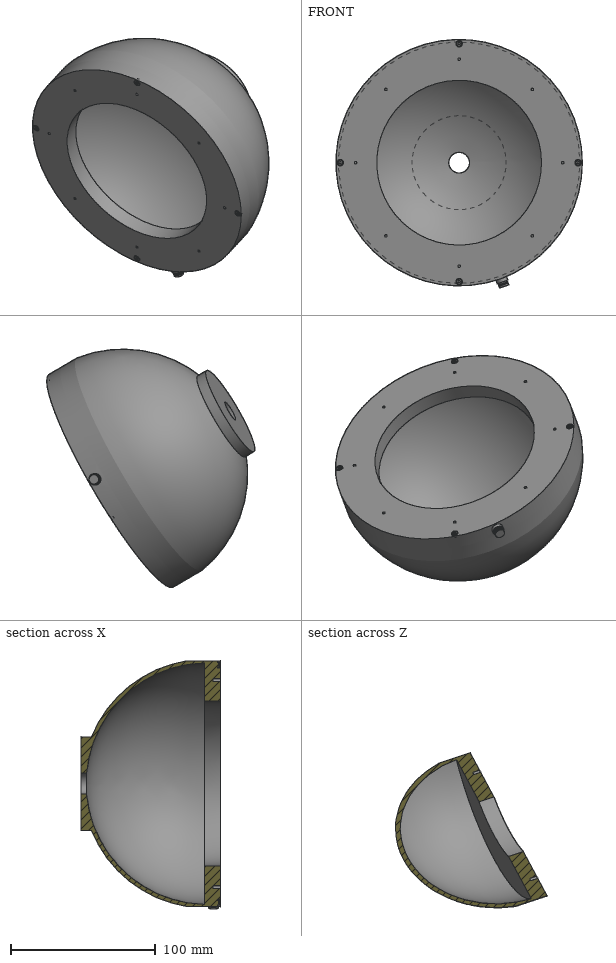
import cadquery as cq
import math

overall_height = 171.6
rim_radius = 170.0 / 2
plate_thickness = 11.3
rim_depth = 23.2
overall_depth = 96.5

sphere_center_y = 9.5
dome_wall = 3.0
dome_radius = math.hypot(rim_radius, rim_depth - sphere_center_y)
cavity_radius = dome_radius - dome_wall
opening_radius = 56.8

neck_radius = 32.5
camera_hole_radius = 7.0

pin_hole_count = 8
pin_circle_radius = 71.4
pin_hole_radius = 0.9
pin_hole_depth = 5.1

screw_count = 4
screw_circle_radius = 82.0
counterbore_radius = 2.2
screw_head_radius = 1.7
screw_head_height = 2.0
socket_width = 1.4
socket_depth = 1.4

connector_angle = 20.0
connector_y = 5.0
collar_radius = 4.0
collar_end = 87.5
groove_radius = 3.1
groove_end = 88.5
fine_groove_radius = 3.3
fine_groove_start = 89.2
fine_groove_end = 89.6
tip_radius = 3.5
tilt = math.radians(connector_angle)
tip_end = (overall_height - rim_radius - tip_radius * math.sin(tilt)) / math.cos(tilt)
connector_embedding = 3.5
connector_start = rim_radius - connector_embedding


def sphere_height(radius, axis_distance):
    """Y position on the +Y half of a sphere at a distance from the dome axis."""
    return sphere_center_y + math.sqrt(radius**2 - axis_distance**2)


def front_disc(radius, depth):
    """Round cutter from the front face into the part, on the dome axis."""
    return cq.Workplane("XZ").circle(radius).extrude(-depth)


def around_axis(tool, circle_radius, count):
    """Copies of a tool spread evenly on a circle about the dome axis."""
    copies = cq.Workplane("XY")
    start = tool.translate((circle_radius, 0, 0))
    for i in range(count):
        copies = copies.add(start.rotate((0, 0, 0), (0, 1, 0), i * 360 / count))
    return copies.combine()


def make_shell():
    """Revolved section: front plate, rim, hollow dome, neck and camera hole."""
    middle_radius = (rim_radius + neck_radius) / 2
    cavity_middle_radius = (opening_radius + camera_hole_radius) / 2
    cavity_edge = math.sqrt(cavity_radius**2 - (plate_thickness - sphere_center_y) ** 2)
    section = (
        cq.Workplane("XY")
        .moveTo(opening_radius, 0)
        .lineTo(rim_radius, 0)
        .lineTo(rim_radius, plate_thickness)
        .lineTo(rim_radius, rim_depth)
        .threePointArc(
            (middle_radius, sphere_height(dome_radius, middle_radius)),
            (neck_radius, sphere_height(dome_radius, neck_radius)),
        )
        .lineTo(neck_radius, overall_depth)
        .lineTo(camera_hole_radius, overall_depth)
        .lineTo(camera_hole_radius, sphere_height(cavity_radius, camera_hole_radius))
        .threePointArc(
            (cavity_middle_radius, sphere_height(cavity_radius, cavity_middle_radius)),
            (cavity_edge, plate_thickness),
        )
        .lineTo(opening_radius, plate_thickness)
        .close()
    )
    return section.revolve(360, (0, 0, 0), (0, 1, 0), clean=False)


def make_screw_recess():
    """Gap around one flush screw head, together with its hexagonal socket."""
    gap = front_disc(counterbore_radius, screw_head_height).cut(
        front_disc(screw_head_radius, screw_head_height)
    )
    socket = cq.Workplane("XZ").polygon(6, socket_width, circumscribed=True).extrude(-socket_depth)
    return gap.add(socket).combine()


def make_connector():
    """Stepped round connector pointing to -Z, tilted toward +X."""
    section = (
        cq.Workplane("XZ")
        .moveTo(0, -connector_start)
        .lineTo(collar_radius, -connector_start)
        .lineTo(collar_radius, -collar_end)
        .lineTo(groove_radius, -collar_end)
        .lineTo(groove_radius, -groove_end)
        .lineTo(tip_radius, -groove_end)
        .lineTo(tip_radius, -fine_groove_start)
        .lineTo(fine_groove_radius, -fine_groove_start)
        .lineTo(fine_groove_radius, -fine_groove_end)
        .lineTo(tip_radius, -fine_groove_end)
        .lineTo(tip_radius, -tip_end)
        .lineTo(0, -tip_end)
        .close()
    )
    upright = section.revolve(360, (0, 0, 0), (0, 1, 0))
    return upright.rotate((0, 0, 0), (0, 1, 0), -connector_angle).translate((0, connector_y, 0))


pin_holes = around_axis(front_disc(pin_hole_radius, pin_hole_depth), pin_circle_radius, pin_hole_count)
screw_recesses = around_axis(make_screw_recess(), screw_circle_radius, screw_count)

result = (
    make_shell()
    .union(make_connector(), clean=False)
    .cut(pin_holes, clean=False)
    .cut(screw_recesses, clean=False)
)